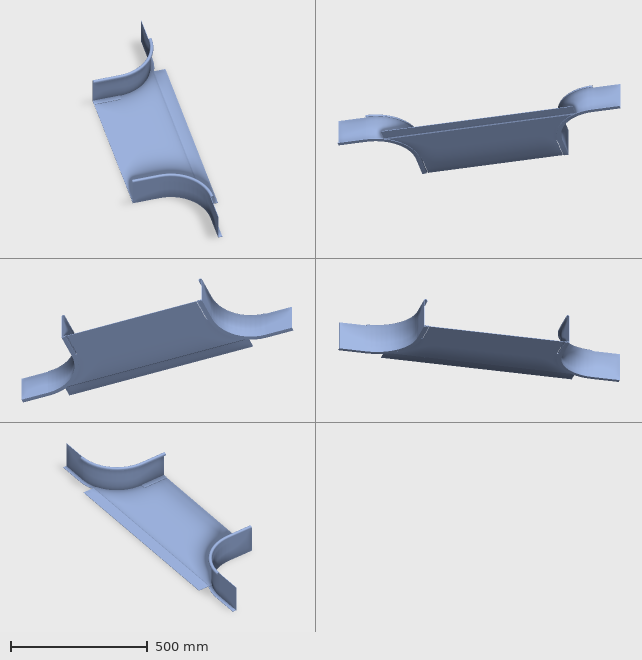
import cadquery as cq

total_length = 1060.0
total_depth = 300.0
total_height = 112.0
sheet = 1.8

leg_spacing = 550.0
leg_length = 103.0
arm_length = 104.0
flange_width = 16.0
lip_width = 13.0
lip_drop = 10.0

leg_x = -leg_spacing / 2
bend_x = -total_length / 2 + arm_length
bend_radius = leg_x - bend_x
lip_radius = lip_width / 2
wall_top = total_height - lip_radius

tab_width = 721.0
joggle_start = 251.0
joggle_end = 255.0
joggle_rise = 2.4
edge_rise = 1.8
edge_strip_width = 17.0
edge_slope_width = 3.0


def flanged_profile(face_x):
    """XZ section of wall and bottom flange, with the wall face at face_x."""
    return (
        cq.Workplane("XZ")
        .moveTo(face_x, 0)
        .lineTo(face_x + flange_width, 0)
        .lineTo(face_x + flange_width, sheet)
        .lineTo(face_x + sheet, sheet)
        .lineTo(face_x + sheet, wall_top)
        .lineTo(face_x, wall_top)
        .close()
    )


def lipped_profile(face_x):
    """XZ section of wall, bottom flange and the lip rolled over at the top."""
    lip_x = face_x + lip_width
    middle_x = face_x + lip_radius
    lip_bottom = total_height - lip_drop
    return (
        cq.Workplane("XZ")
        .moveTo(face_x, 0)
        .lineTo(face_x + flange_width, 0)
        .lineTo(face_x + flange_width, sheet)
        .lineTo(face_x + sheet, sheet)
        .lineTo(face_x + sheet, wall_top)
        .threePointArc((middle_x, total_height - sheet), (lip_x - sheet, wall_top))
        .lineTo(lip_x - sheet, lip_bottom)
        .lineTo(lip_x, lip_bottom)
        .lineTo(lip_x, wall_top)
        .threePointArc((middle_x, total_height), (face_x, wall_top))
        .close()
    )


def make_left_wall():
    leg = lipped_profile(leg_x).extrude(-leg_length)
    bend = (
        lipped_profile(leg_x)
        .revolve(90, (bend_x, 0, 0), (bend_x, 1, 0))
        .translate((0, leg_length, 0))
    )
    arm = (
        flanged_profile(bend_radius)
        .extrude(-arm_length)
        .rotate((0, 0, 0), (0, 0, 1), 90)
        .translate((bend_x, leg_length, 0))
    )
    return leg.union(bend).union(arm)


def make_plate_blank():
    """Plate with its raised rear tab, at full tab width."""
    low = sheet
    high = sheet + joggle_rise
    return (
        cq.Workplane("YZ")
        .moveTo(0, low)
        .lineTo(joggle_start, low)
        .lineTo(joggle_end, high)
        .lineTo(total_depth, high)
        .lineTo(total_depth, high + sheet)
        .lineTo(joggle_end, high + sheet)
        .lineTo(joggle_start, low + sheet)
        .lineTo(0, low + sheet)
        .close()
        .extrude(tab_width / 2, both=True)
    )


def make_left_edge_strip():
    """Raised edge of the plate beside the left leg, sloping down to the plate."""
    inner_x = leg_x + sheet
    crest_x = leg_x + edge_strip_width
    foot_x = crest_x + edge_slope_width
    low = sheet
    high = sheet + edge_rise
    return (
        cq.Workplane("XZ")
        .moveTo(inner_x, high)
        .lineTo(crest_x, high)
        .lineTo(foot_x, low)
        .lineTo(foot_x, low + sheet)
        .lineTo(crest_x, high + sheet)
        .lineTo(inner_x, high + sheet)
        .close()
        .extrude(-leg_length)
    )


def make_left_cutout():
    """Space in front of the inner face of the left wall."""
    inner_radius = bend_radius + sheet
    cut_height = 2 * total_height
    bend_space = cq.Workplane("XY").center(bend_x, leg_length).circle(inner_radius).extrude(cut_height)
    leg_space = (
        cq.Workplane("XY")
        .center(bend_x, 0)
        .rect(2 * (inner_radius + edge_strip_width + edge_slope_width), 2 * leg_length)
        .extrude(cut_height)
    )
    return bend_space, leg_space


def make_floor_plate():
    bend_space, leg_space = make_left_cutout()
    edge_strip = make_left_edge_strip()
    plate = make_plate_blank()
    for cutter in (bend_space, leg_space):
        plate = plate.cut(cutter).cut(cutter.mirror("YZ"))
    return plate.union(edge_strip).union(edge_strip.mirror("YZ"))


left_wall = make_left_wall()
right_wall = left_wall.mirror("YZ")
floor_plate = make_floor_plate()

result = cq.Compound.makeCompound([left_wall.val(), right_wall.val(), floor_plate.val()])